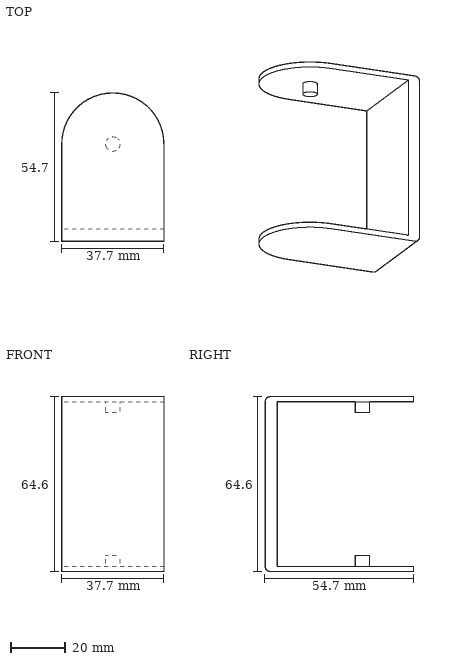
import cadquery as cq

width = 37.7
depth = 54.7
height = 64.6

wall_thickness = 4.5
flange_thickness = 2.0
corner_radius = 2.0

pin_diameter = 5.35
pin_length = 4.0

end_radius = width / 2
pivot_y = depth - end_radius


def make_wall():
    """Upright wall with its front top and bottom edges rounded."""
    wall = cq.Workplane("XY").box(width, wall_thickness, height, centered=(True, False, True))
    return wall.edges("|X and <Y").fillet(corner_radius)


def make_flange(bottom_z):
    """Flat flange running back from the wall to a full-round end."""
    return (
        cq.Workplane("XY", origin=(0, 0, bottom_z))
        .moveTo(-end_radius, wall_thickness)
        .lineTo(-end_radius, pivot_y)
        .threePointArc((0, depth), (end_radius, pivot_y))
        .lineTo(end_radius, wall_thickness)
        .close()
        .extrude(flange_thickness)
    )


def make_pin(bottom_z):
    """Round pin on the inner face of a flange."""
    return (
        cq.Workplane("XY", origin=(0, pivot_y, bottom_z))
        .circle(pin_diameter / 2)
        .extrude(pin_length)
    )


inner_z = height / 2 - flange_thickness

result = make_wall()
result = result.union(make_flange(inner_z)).union(make_flange(-height / 2))
result = result.union(make_pin(inner_z - pin_length)).union(make_pin(-inner_z))